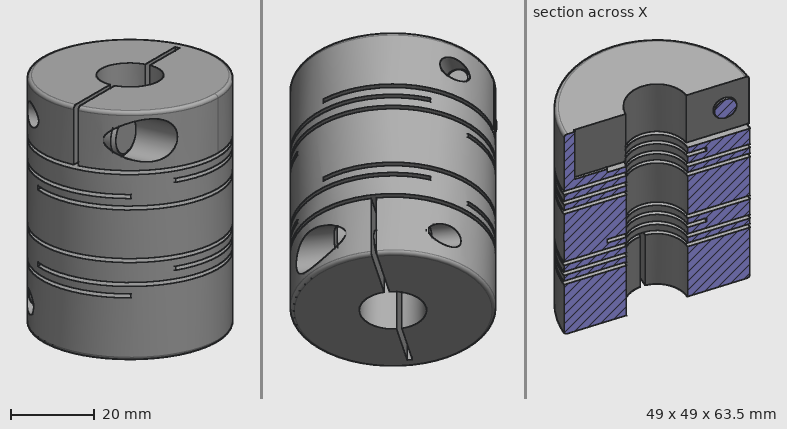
import cadquery as cq


length = 63.5
outer_radius = 24.5
bore_radius = 8.0
rim_fillet = 0.95

cut_width = 1.0
cut_reach = 13.0
pair_pitch = 2.9
set_pitch = 6.1
upper_set_top = 47.95
lower_set_top = 25.5

slit_width = 1.3
slit_reach = 21.5

screw_offset = 18.05
screw_inset = 7.5
shank_radius = 3.0
shank_end = 12.5
tip_chamfer = 0.5
head_radius = 5.45
head_seat = 4.0
head_end = 10.0
head_chamfer = 0.9


def make_body():
    body = cq.Workplane("XY").circle(outer_radius).extrude(length)
    body = body.faces("<Z or >Z").edges().fillet(rim_fillet)
    bore = cq.Workplane("XY").circle(bore_radius).extrude(length)
    return body.cut(bore)


def side_cut(z_bottom, height, width, reach, direction):
    """Box entering from -Y and ending at +reach, then turned about Z by direction degrees."""
    depth = outer_radius + reach
    box = cq.Workplane("XY").box(width, depth, height, centered=(True, False, False))
    box = box.translate((0, -outer_radius, z_bottom))
    return box.rotate((0, 0, 0), (0, 0, 1), direction)


def flexure_cut(z_middle, direction):
    return side_cut(z_middle - cut_width / 2, cut_width, 2 * outer_radius, cut_reach, direction)


def screw_cylinder(radius, start, end, z):
    """Cylinder along X on the axis of the clamp screw."""
    plane = cq.Workplane("YZ", origin=(start, -screw_offset, z))
    return plane.circle(radius).extrude(end - start)


def add_clamp(body, hub_length, flip):
    """Split a hub on its -Y side and fit a screw along X; flip places it on the lower hub."""
    def place(shape):
        if not flip:
            return shape
        return shape.rotate((0, 0, length / 2), (0.65, 0.65, length / 2), 180)

    screw_z = length - screw_inset
    slit = side_cut(length - hub_length, hub_length, slit_width, slit_reach, 0)
    hole = screw_cylinder(shank_radius, -outer_radius, 0, screw_z)
    counterbore = screw_cylinder(head_radius, head_seat, outer_radius, screw_z)
    shank = screw_cylinder(shank_radius, -shank_end, head_seat, screw_z)
    shank = shank.faces("<X").chamfer(tip_chamfer)
    head = screw_cylinder(head_radius, head_seat, head_end, screw_z)
    head = head.faces(">X").chamfer(head_chamfer)
    body = body.cut(place(slit)).cut(place(hole)).cut(place(counterbore))
    return body.union(place(shank.union(head)))


set_steps = [0, pair_pitch, set_pitch, set_pitch + pair_pitch]
upper_cuts = [upper_set_top - step for step in set_steps]
lower_cuts = [lower_set_top - step for step in set_steps]

FROM_FRONT, FROM_RIGHT, FROM_BACK, FROM_LEFT = 0, 90, 180, 270
upper_sides = [FROM_FRONT, FROM_BACK, FROM_LEFT, FROM_RIGHT]
lower_sides = [FROM_FRONT, FROM_BACK, FROM_RIGHT, FROM_LEFT]

result = make_body()
for cut_z, side in zip(upper_cuts + lower_cuts, upper_sides + lower_sides):
    result = result.cut(flexure_cut(cut_z, side))

upper_hub_length = length - upper_cuts[0] - cut_width / 2
lower_hub_length = lower_cuts[-1] - cut_width / 2
result = add_clamp(result, upper_hub_length, flip=False)
result = add_clamp(result, lower_hub_length, flip=True)